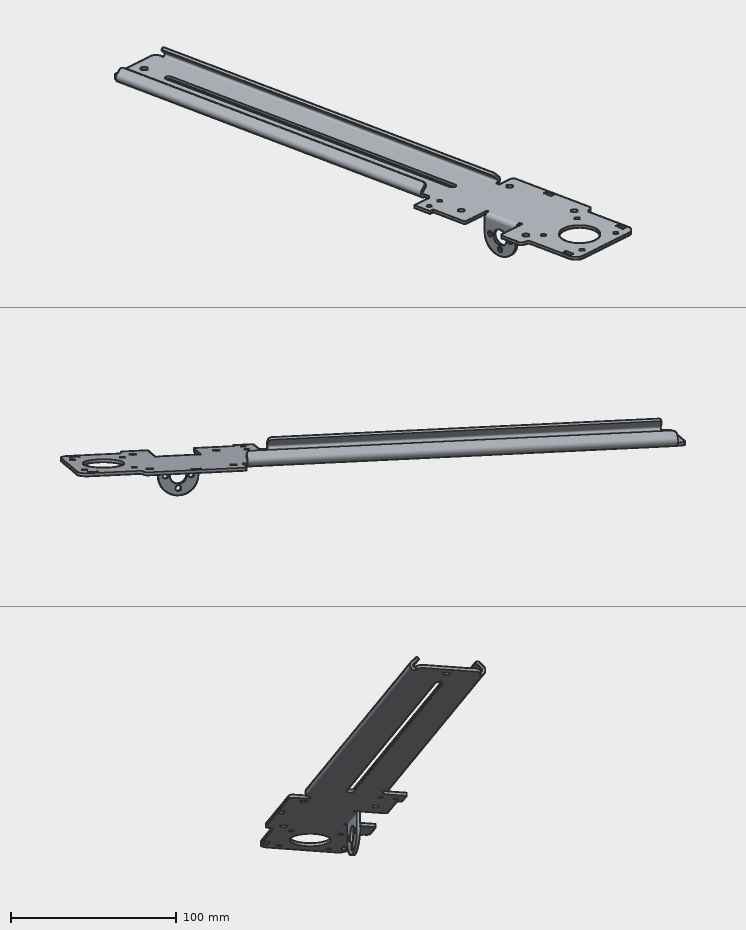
import cadquery as cq
import math

thickness = 2.0
bend_inner_radius = 1.2
bend_outer_radius = bend_inner_radius + thickness

total_length = 379.16
total_height = 32.4
arm_half_width = 20.0
arm_end_radius = 4.0

body_start = 276.0
body_end = 340.0
body_half_width = 32.5
body_corner_radius = 2.5
inner_corner_radius = 2.5
motor_end_half_width = 27.0
motor_end_radius = 6.0

ear_start = 256.2
ear_end = 268.8
ear_depth = 35.5

flange_start = 6.0
near_flange_end = 250.8
far_flange_end = 273.6
flange_bend_angle = 135.0
flange_straight = 5.5
flange_corner_radius = 2.5
flange_bend_y = 20.3
flange_bend_rise = bend_outer_radius * (1 - math.cos(math.radians(flange_bend_angle)))
flange_leg_rise = flange_straight * math.sin(math.radians(flange_bend_angle))
flange_top = flange_bend_rise + flange_leg_rise
flange_overlap = 1.0

window_start = 294.3
window_end = 322.6
window_top = -12.2
window_corner_radius = 1.5
bracket_overlap = 2.0
bracket_bend_angle = 90.0
bracket_width = 25.0
bracket_x = 307.9
bracket_outer_y = -15.9
bracket_bottom = flange_top - total_height
bracket_bore = 10.5
bracket_screw = 3.5
bracket_screw_radius = 8.0

motor_x = 357.9
motor_bore = 25.0
motor_screw = 3.2
motor_screw_pitch = 31.0
body_hole = 4.2
body_hole_x = 308.3
body_hole_pitch_x = 52.0
body_hole_pitch_y = 44.6
ear_hole = 3.0
ear_holes = ((263.8, -20.9), (263.8, -30.4))
arm_hole = 4.5
arm_hole_x = 8.4
slot_start = 25.8
slot_end = 258.0
slot_width = 4.5
tie_slot_length = 6.0
tie_slot_width = 2.5
tie_slot_centres = ((307.2, 30.0), (370.0, 24.2), (370.0, -24.2))


def fillet_corners(plate, corners, radius):
    """Round the vertical plate edges standing at the given (x, y) corners."""
    for x, y in corners:
        corner_edge = cq.selectors.NearestToPointSelector((x, y, thickness / 2))
        plate = plate.edges(corner_edge).fillet(radius)
    return plate


def make_plate():
    """Flat blank of arm, ear, body and motor end, with the bracket window open to the -Y edge."""
    arm_corners = [(0, arm_half_width), (0, -arm_half_width)]
    ear_root = (ear_start, -arm_half_width)
    window_mouth = [(window_start, -body_half_width), (window_end, -body_half_width)]
    body_end_corners = [(body_end, -body_half_width), (body_end, body_half_width)]
    motor_end_roots = [(body_end, -motor_end_half_width), (body_end, motor_end_half_width)]
    motor_end_corners = [(total_length, -motor_end_half_width), (total_length, motor_end_half_width)]
    body_start_corner = (body_start, body_half_width)
    outline = [
        *arm_corners,
        ear_root,
        (ear_start, -ear_depth),
        (ear_end, -ear_depth),
        (ear_end, -body_half_width),
        window_mouth[0],
        (window_start, window_top),
        (window_end, window_top),
        window_mouth[1],
        body_end_corners[0],
        motor_end_roots[0],
        *motor_end_corners,
        motor_end_roots[1],
        body_end_corners[1],
        body_start_corner,
        (body_start, arm_half_width),
    ]
    plate = cq.Workplane("XY").polyline(outline).close().extrude(thickness)
    plate = fillet_corners(plate, arm_corners, arm_end_radius)
    plate = fillet_corners(plate, [body_start_corner, *body_end_corners], body_corner_radius)
    plate = fillet_corners(plate, [ear_root, *motor_end_roots], inner_corner_radius)
    plate = fillet_corners(plate, motor_end_corners, motor_end_radius)
    return fillet_corners(plate, window_mouth, window_corner_radius)


def bent_strip_profile(plane, root, sweep_degrees, straight, tail):
    """Section of a bend that starts level at `root` and curls up, with a flat tail and a straight leg."""
    centre_u, centre_v = root, bend_outer_radius

    def on_bend(radius, degrees):
        angle = math.radians(degrees - 90)
        return (centre_u + radius * math.cos(angle), centre_v + radius * math.sin(angle))

    direction = math.radians(sweep_degrees)
    step_u = straight * math.cos(direction)
    step_v = straight * math.sin(direction)
    outer_end = on_bend(bend_outer_radius, sweep_degrees)
    inner_end = on_bend(bend_inner_radius, sweep_degrees)
    return (
        cq.Workplane(plane)
        .moveTo(root - tail, 0)
        .lineTo(root, 0)
        .threePointArc(on_bend(bend_outer_radius, sweep_degrees / 2), outer_end)
        .lineTo(outer_end[0] + step_u, outer_end[1] + step_v)
        .lineTo(inner_end[0] + step_u, inner_end[1] + step_v)
        .lineTo(*inner_end)
        .threePointArc(on_bend(bend_inner_radius, sweep_degrees / 2), (root, thickness))
        .lineTo(root - tail, thickness)
        .close()
    )


def make_flange(flange_end):
    """Flange on the +Y side of the arm."""
    profile = bent_strip_profile("YZ", flange_bend_y, flange_bend_angle, flange_straight, flange_overlap)
    flange = profile.extrude(flange_end - flange_start).translate((flange_start, 0, 0))
    leg_direction = math.radians(flange_bend_angle)
    along_leg = cq.Vector(0, math.cos(leg_direction), math.sin(leg_direction))
    through_sheet = cq.Vector(0, math.sin(leg_direction), -math.cos(leg_direction))
    tip_face = flange.faces(cq.selectors.DirectionMinMaxSelector(along_leg, True))
    return tip_face.edges(cq.selectors.ParallelDirSelector(through_sheet)).fillet(flange_corner_radius)


def make_bracket():
    """Leg folded straight down, with a half-round end, a bore and three screw holes."""
    bend_y = bracket_outer_y + bend_outer_radius
    end_radius = bracket_width / 2
    bore_z = bracket_bottom + end_radius
    straight = thickness - bend_outer_radius - bracket_bottom
    leg = (
        bent_strip_profile("YZ", -bend_y, bracket_bend_angle, straight, bracket_overlap)
        .extrude(bracket_width)
        .rotate((0, 0, 0), (1, 0, 0), 180)
        .translate((bracket_x - end_radius, 0, thickness))
    )
    round_end_outline = (
        cq.Workplane("XZ", origin=(bracket_x, 0, bore_z))
        .moveTo(-end_radius, thickness - bore_z)
        .lineTo(-end_radius, 0)
        .threePointArc((0, -end_radius), (end_radius, 0))
        .lineTo(end_radius, thickness - bore_z)
        .close()
        .extrude(body_half_width)
    )
    bore = cq.Workplane("XZ", origin=(bracket_x, 0, bore_z)).circle(bracket_bore / 2).extrude(body_half_width)
    screws = (
        cq.Workplane("XZ", origin=(bracket_x, 0, bore_z))
        .pushPoints([(-bracket_screw_radius, 0), (0, -bracket_screw_radius), (bracket_screw_radius, 0)])
        .circle(bracket_screw / 2)
        .extrude(body_half_width)
    )
    return leg.intersect(round_end_outline).cut(bore).cut(screws)


def plate_points(*points):
    """Workplane on the underside of the plate with the given points selected."""
    return cq.Workplane("XY").pushPoints(points)


def rectangle_corners(centre_x, pitch_x, pitch_y):
    """Corner points of a rectangle centred on the centreline at `centre_x`."""
    return [
        (centre_x + side_x * pitch_x / 2, side_y * pitch_y / 2)
        for side_x in (-1, 1)
        for side_y in (-1, 1)
    ]


def cut_plate_holes(plate):
    """Cut the motor bore, screw holes, long slot and tie slots right through the plate."""
    motor_screws = rectangle_corners(motor_x, motor_screw_pitch, motor_screw_pitch)
    body_holes = rectangle_corners(body_hole_x, body_hole_pitch_x, body_hole_pitch_y)
    slot_length = slot_end - slot_start
    slot_centre = (slot_start + slot_length / 2, 0)
    cutters = [
        plate_points((motor_x, 0)).circle(motor_bore / 2),
        plate_points(*motor_screws).circle(motor_screw / 2),
        plate_points(*body_holes).circle(body_hole / 2),
        plate_points(*ear_holes).circle(ear_hole / 2),
        plate_points((arm_hole_x, 0)).circle(arm_hole / 2),
        plate_points(slot_centre).slot2D(slot_length, slot_width),
        plate_points(*tie_slot_centres).rect(tie_slot_length, tie_slot_width),
    ]
    for cutter in cutters:
        plate = plate.cut(cutter.extrude(thickness))
    return plate


far_flange = make_flange(far_flange_end)
near_flange = make_flange(near_flange_end).mirror("XZ")
sheet = cut_plate_holes(make_plate())
result = sheet.union(far_flange).union(near_flange).union(make_bracket())